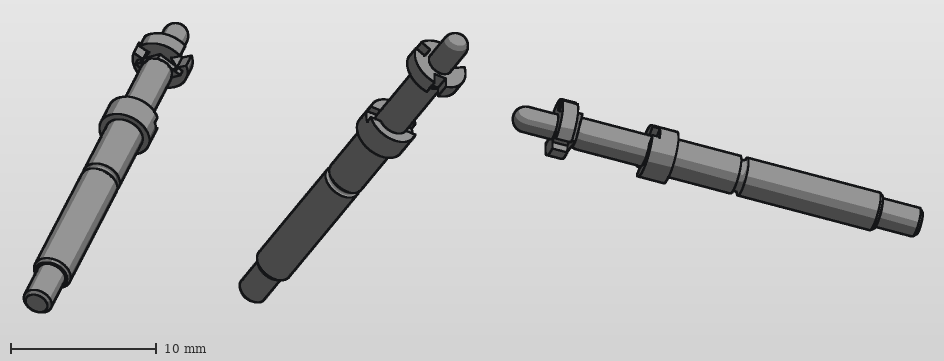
import cadquery as cq
import math

LENGTH = 29.3

TAIL_RADIUS = 2.05 / 2
BARREL_RADIUS = 2.7 / 2
COLLAR_RADIUS = 3.65 / 2
SHAFT_RADIUS = 2.23 / 2
PIN_RADIUS = 1.8 / 2
FLANGE_RADIUS = 4.0 / 2

BARREL_START = 3.0
GROOVE_CENTRE = 13.0
COLLAR_START = 17.95
COLLAR_END = 19.8
SHAFT_END = 24.82
FLANGE_START = 25.25
FLANGE_END = 26.35

TAIL_CHAMFER = 0.23
BARREL_CHAMFER_LENGTH = 0.23
BARREL_CHAMFER_DEPTH = 0.18
SHOULDER_LENGTH = 0.45
GROOVE_WIDTH = 0.53
GROOVE_DEPTH = 0.23

COLLAR_SLOT_WIDTH = 1.0
COLLAR_SLOT_DEPTH = 0.53

NOTCH_ANGLES = (30, 150, 270)
NOTCH_WIDTH = 0.88
NOTCH_FLOOR = 1.17

KEY_HALF_WIDTH = 1.65
KEY_HALF_HEIGHT = 1.08


def shoulder_radius(distance):
    """Radius of the rounded shaft end, a sphere of the shaft radius, at a distance from its equator."""
    return math.sqrt(SHAFT_RADIUS**2 - distance**2)


def turned_body():
    """Revolve the half profile (radius, Y) of every round step except the collar."""
    shoulder_start = SHAFT_END - SHOULDER_LENGTH
    dome_start = LENGTH - PIN_RADIUS
    dome_middle = PIN_RADIUS * math.sqrt(0.5)
    return (
        cq.Workplane("XY")
        .moveTo(0, 0)
        .lineTo(TAIL_RADIUS - TAIL_CHAMFER, 0)
        .lineTo(TAIL_RADIUS, TAIL_CHAMFER)
        .lineTo(TAIL_RADIUS, BARREL_START)
        .lineTo(BARREL_RADIUS - BARREL_CHAMFER_DEPTH, BARREL_START)
        .lineTo(BARREL_RADIUS, BARREL_START + BARREL_CHAMFER_LENGTH)
        .lineTo(BARREL_RADIUS, GROOVE_CENTRE - GROOVE_WIDTH / 2)
        .threePointArc(
            (BARREL_RADIUS - GROOVE_DEPTH, GROOVE_CENTRE),
            (BARREL_RADIUS, GROOVE_CENTRE + GROOVE_WIDTH / 2),
        )
        .lineTo(BARREL_RADIUS, COLLAR_START)
        .lineTo(SHAFT_RADIUS, COLLAR_START)
        .lineTo(SHAFT_RADIUS, shoulder_start)
        .threePointArc(
            (shoulder_radius(SHOULDER_LENGTH / 2), shoulder_start + SHOULDER_LENGTH / 2),
            (shoulder_radius(SHOULDER_LENGTH), SHAFT_END),
        )
        .lineTo(PIN_RADIUS, SHAFT_END)
        .lineTo(PIN_RADIUS, FLANGE_START)
        .lineTo(FLANGE_RADIUS, FLANGE_START)
        .lineTo(FLANGE_RADIUS, FLANGE_END)
        .lineTo(PIN_RADIUS, FLANGE_END)
        .lineTo(PIN_RADIUS, dome_start)
        .threePointArc((dome_middle, dome_start + dome_middle), (0, LENGTH))
        .close()
        .revolve(360, (0, 0, 0), (0, 1, 0))
    )


def key():
    """Diamond prism filling the gap between the shaft end and the flange."""
    corners = [
        (KEY_HALF_WIDTH, 0),
        (0, KEY_HALF_HEIGHT),
        (-KEY_HALF_WIDTH, 0),
        (0, -KEY_HALF_HEIGHT),
    ]
    return (
        cq.Workplane("XZ", origin=(0, FLANGE_START, 0))
        .polyline(corners)
        .close()
        .extrude(FLANGE_START - SHAFT_END)
    )


def flange_notch(angle):
    """Cutter for one flat-floored radial notch, running through the flange and the key."""
    size = (FLANGE_RADIUS, FLANGE_END - SHAFT_END, NOTCH_WIDTH)
    return (
        cq.Workplane("XY")
        .box(*size, centered=(False, False, True))
        .translate((NOTCH_FLOOR, SHAFT_END, 0))
        .rotate((0, 0, 0), (0, 1, 0), -angle)
    )


def collar():
    """Ring around the shaft, cut across along X on its tip side."""
    ring = (
        cq.Workplane("XZ", origin=(0, COLLAR_END, 0))
        .circle(COLLAR_RADIUS)
        .circle(SHAFT_RADIUS)
        .extrude(COLLAR_END - COLLAR_START)
    )
    slot = (
        cq.Workplane("XY")
        .box(2 * COLLAR_RADIUS, COLLAR_SLOT_DEPTH, COLLAR_SLOT_WIDTH, centered=(True, False, True))
        .translate((0, COLLAR_END - COLLAR_SLOT_DEPTH, 0))
    )
    return ring.cut(slot)


result = turned_body().union(collar()).union(key())
for notch_angle in NOTCH_ANGLES:
    result = result.cut(flange_notch(notch_angle))